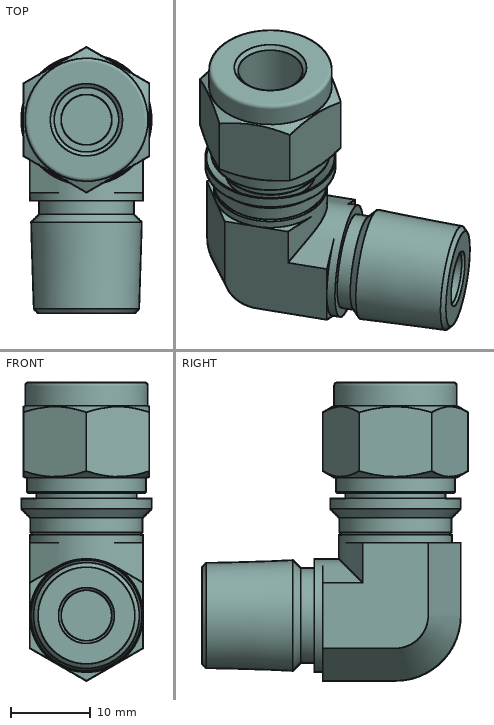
import cadquery as cq
import math


BODY_FLATS = 14.3
BODY_RADIUS = BODY_FLATS / 2
BODY_CORNER = BODY_FLATS / math.sqrt(3)
BODY_HALF_SIDE = BODY_CORNER / 2
BODY_ARM = 9.2

OVERALL_HEIGHT = 37.63
TOP = OVERALL_HEIGHT - BODY_CORNER
COLLAR_TOP = 10.15
SLEEVE_BEVEL = 0.3
SLEEVE_RADIUS = 14.2 / 2
FLANGE_RADIUS = 16.5 / 2
FLANGE_TOP = 14.75
FLANGE_RIM = 1.3
CUP_RADIUS = 8.05
GROOVE_RADIUS = 11.4 / 2
NECK_RADIUS = 12.7 / 2
NECK_BOTTOM = 13.92
SKIRT_RADIUS = 15.0 / 2
SKIRT_BOTTOM = 15.4
SKIRT_BEVEL = 0.2

NUT_FLATS = 15.88
NUT_CORNER = NUT_FLATS / math.sqrt(3)
NUT_BOTTOM = 17.4
NUT_TOP = 26.4
NUT_BEVEL_ANGLE = 30.0
CAP_RADIUS = 15.5 / 2
CAP_ROUND = 0.45

OVERALL_DEPTH = 33.55
THREAD_END = OVERALL_DEPTH - NUT_CORNER
SHOULDER_END = 10.25
RELIEF_RADIUS = 12.0 / 2
RELIEF_END = 11.93
THREAD_START = 12.9
THREAD_BIG_RADIUS = 7.0
THREAD_SMALL_RADIUS = 6.65
THREAD_BEVEL = 0.55

BORE_RADIUS = 6.35 / 2
BORE_MOUTH_BEVEL = 0.35
SOCKET_RADIUS = 8.13 / 2
SOCKET_FLOOR = 13.17
SOCKET_MOUTH_BEVEL = 0.5


def turned(profile):
    """Revolve (radius, height) points, closed along the axis, about Z."""
    points = [(0, profile[0][1])] + profile + [(0, profile[-1][1])]
    return cq.Workplane("XZ").polyline(points).close().revolve(360, (0, 0, 0), (0, 1, 0))


def lay_along_thread(shape):
    """Turn a shape built along +Z so that it points along -Y."""
    return shape.rotate((0, 0, 0), (1, 0, 0), 90)


def body_arm():
    """Arm along +Z: half hexagon at +Y, flats blending into a round at -Y."""
    tangent_x = BODY_RADIUS * math.sin(math.radians(30))
    tangent_y = -BODY_RADIUS * math.cos(math.radians(30))
    return (
        cq.Workplane("XY")
        .moveTo(0, BODY_CORNER)
        .lineTo(BODY_RADIUS, BODY_HALF_SIDE)
        .lineTo(BODY_RADIUS, -BODY_HALF_SIDE)
        .lineTo(tangent_x, tangent_y)
        .threePointArc((0, -BODY_RADIUS), (-tangent_x, tangent_y))
        .lineTo(-BODY_RADIUS, -BODY_HALF_SIDE)
        .lineTo(-BODY_RADIUS, BODY_HALF_SIDE)
        .close()
        .extrude(BODY_ARM)
    )


def elbow_body():
    tube_side = body_arm()
    thread_side = body_arm().mirror("XY").rotate((0, 0, 0), (1, 0, 0), -90)
    bend = (
        cq.Workplane("XY")
        .polyline([
            (-BODY_RADIUS, 0),
            (-BODY_RADIUS, BODY_HALF_SIDE),
            (0, BODY_CORNER),
            (BODY_RADIUS, BODY_HALF_SIDE),
            (BODY_RADIUS, 0),
        ])
        .close()
        .revolve(90, (0, 0, 0), (-1, 0, 0))
    )
    return tube_side.union(thread_side).union(bend)


def tube_arm():
    sleeve_top = FLANGE_TOP - FLANGE_RIM - (FLANGE_RADIUS - SLEEVE_RADIUS)
    cup_floor = FLANGE_TOP - (CUP_RADIUS - GROOVE_RADIUS)
    return turned([
        (BODY_RADIUS, 0),
        (BODY_RADIUS, COLLAR_TOP),
        (SLEEVE_RADIUS - SLEEVE_BEVEL, COLLAR_TOP),
        (SLEEVE_RADIUS, COLLAR_TOP + SLEEVE_BEVEL),
        (SLEEVE_RADIUS, sleeve_top),
        (FLANGE_RADIUS, FLANGE_TOP - FLANGE_RIM),
        (FLANGE_RADIUS, FLANGE_TOP),
        (CUP_RADIUS, FLANGE_TOP),
        (GROOVE_RADIUS, cup_floor),
        (GROOVE_RADIUS, NECK_BOTTOM - (NECK_RADIUS - GROOVE_RADIUS)),
        (NECK_RADIUS, NECK_BOTTOM),
        (NECK_RADIUS, SKIRT_BOTTOM),
        (SKIRT_RADIUS - SKIRT_BEVEL, SKIRT_BOTTOM),
        (SKIRT_RADIUS, SKIRT_BOTTOM + SKIRT_BEVEL),
        (SKIRT_RADIUS, NUT_BOTTOM),
    ])


def nut():
    hexagon = (
        cq.Workplane("XY")
        .workplane(offset=NUT_BOTTOM)
        .polygon(6, 2 * NUT_CORNER)
        .extrude(NUT_TOP - NUT_BOTTOM)
        .rotate((0, 0, 0), (0, 0, 1), 30)
    )
    envelope_radius = NUT_CORNER + 0.38
    drop = (envelope_radius - CAP_RADIUS) * math.tan(math.radians(NUT_BEVEL_ANGLE))
    envelope = turned([
        (CAP_RADIUS, NUT_BOTTOM),
        (envelope_radius, NUT_BOTTOM + drop),
        (envelope_radius, NUT_TOP - drop),
        (CAP_RADIUS, NUT_TOP),
    ])
    cap = turned([(CAP_RADIUS, NUT_BOTTOM), (CAP_RADIUS, TOP)]).faces(">Z").edges().fillet(CAP_ROUND)
    return hexagon.intersect(envelope).union(cap)


def thread_arm():
    return lay_along_thread(turned([
        (BODY_RADIUS, 0),
        (BODY_RADIUS, SHOULDER_END),
        (RELIEF_RADIUS, SHOULDER_END),
        (RELIEF_RADIUS, RELIEF_END),
        (THREAD_BIG_RADIUS, THREAD_START),
        (THREAD_SMALL_RADIUS, THREAD_END - THREAD_BEVEL),
        (THREAD_SMALL_RADIUS - THREAD_BEVEL, THREAD_END),
    ]))


def tube_bore():
    """Flow bore with a flat end, opening into a wider tube socket."""
    return turned([
        (BORE_RADIUS, -BORE_RADIUS),
        (BORE_RADIUS, SOCKET_FLOOR),
        (SOCKET_RADIUS, SOCKET_FLOOR),
        (SOCKET_RADIUS, TOP - SOCKET_MOUTH_BEVEL),
        (SOCKET_RADIUS + SOCKET_MOUTH_BEVEL, TOP),
    ])


def thread_bore():
    return lay_along_thread(turned([
        (BORE_RADIUS, -BORE_RADIUS),
        (BORE_RADIUS, THREAD_END - BORE_MOUTH_BEVEL),
        (BORE_RADIUS + BORE_MOUTH_BEVEL, THREAD_END),
    ]))


solid_fitting = elbow_body().union(tube_arm()).union(thread_arm()).union(nut())
result = solid_fitting.cut(tube_bore()).cut(thread_bore())